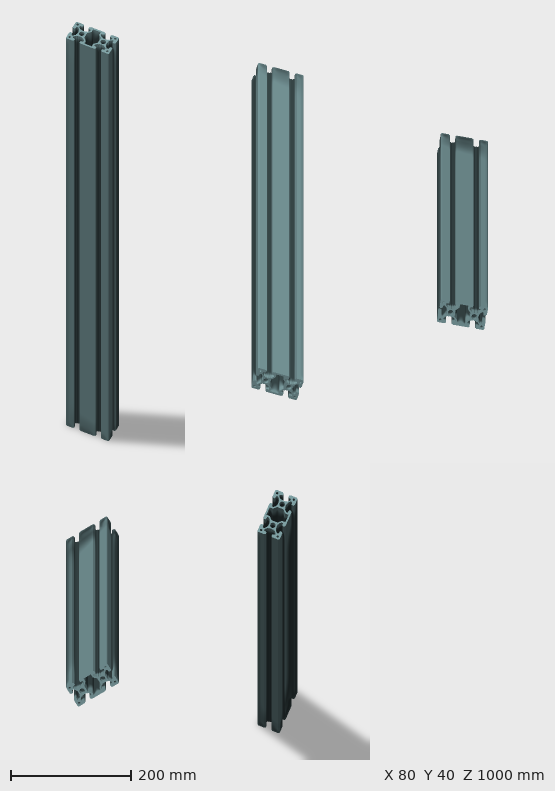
import cadquery as cq

MODULE = 40.0
WIDTH = 2 * MODULE
LENGTH = 1000.0
CORNER_RADIUS = 2.3

STEP_WIDTH = 13.0
STEP_DEPTH = 1.0
OPENING_WIDTH = 10.0
LIP_TIP_DEPTH = 5.0
LIP_ROOT_DEPTH = 6.0
SLOT_WIDTH = 20.0
FLOOR_WIDTH = 13.0
FLOOR_DEPTH = 12.0
RECESS_WIDTH = 9.0
RECESS_DEPTH = 13.0
GROOVE_WIDTH = 2.0
GROOVE_DEPTH = 14.0

BORE_DIAMETER = 9.0
BORE_OFFSET = MODULE / 2

CORNER_HOLE_DIAMETER = 4.0
CORNER_HOLE_INSET = 5.0

CAVITY_WIDTH = 25.0
CAVITY_END_WIDTH = 14.0
CAVITY_WALL = 3.0
CAVITY_HEIGHT = MODULE - 2 * CAVITY_WALL
CAVITY_SIDE_HEIGHT = 11.0


def extrude_outline(points):
    return cq.Workplane("XY").polyline(points).close().extrude(LENGTH)


def slot_cutter(x, y, angle):
    """T-slot opening towards +Y before it is turned by angle and moved to (x, y)."""
    slope_run = (SLOT_WIDTH - FLOOR_WIDTH) / 2
    right = [
        (STEP_WIDTH / 2, 0),
        (STEP_WIDTH / 2, -STEP_DEPTH),
        (OPENING_WIDTH / 2, -STEP_DEPTH),
        (OPENING_WIDTH / 2, -LIP_TIP_DEPTH),
        (SLOT_WIDTH / 2, -LIP_ROOT_DEPTH),
        (SLOT_WIDTH / 2, slope_run - FLOOR_DEPTH),
        (FLOOR_WIDTH / 2, -FLOOR_DEPTH),
        (RECESS_WIDTH / 2, -FLOOR_DEPTH),
        (RECESS_WIDTH / 2, -RECESS_DEPTH),
        (GROOVE_WIDTH / 2, -RECESS_DEPTH),
    ]
    left = [(-u, v) for u, v in reversed(right)]
    cutter = extrude_outline(right + [(0, -GROOVE_DEPTH)] + left)
    return cutter.rotate((0, 0, 0), (0, 0, 1), angle).translate((x, y, 0))


def cavity_cutter():
    shoulder = CAVITY_SIDE_HEIGHT / 2 + (CAVITY_WIDTH - CAVITY_END_WIDTH) / 2
    upper_right = [
        (CAVITY_END_WIDTH / 2, CAVITY_HEIGHT / 2),
        (CAVITY_END_WIDTH / 2, shoulder),
        (CAVITY_WIDTH / 2, CAVITY_SIDE_HEIGHT / 2),
    ]
    right = upper_right + [(x, -y) for x, y in reversed(upper_right)]
    left = [(-x, y) for x, y in reversed(right)]
    return extrude_outline(right + left)


def hole_cutter(points, diameter):
    return cq.Workplane("XY").pushPoints(points).circle(diameter / 2).extrude(LENGTH)


result = cq.Workplane("XY").box(WIDTH, MODULE, LENGTH, centered=(True, True, False))
result = result.edges("|Z").fillet(CORNER_RADIUS)

for side in (-1, 1):
    module_x = side * BORE_OFFSET
    result = result.cut(slot_cutter(module_x, MODULE / 2, 0))
    result = result.cut(slot_cutter(module_x, -MODULE / 2, 180))
    result = result.cut(slot_cutter(side * WIDTH / 2, 0, -90 * side))
    result = result.cut(hole_cutter([(module_x, 0)], BORE_DIAMETER))

corner_x = WIDTH / 2 - CORNER_HOLE_INSET
corner_y = MODULE / 2 - CORNER_HOLE_INSET
corner_points = [(sx * corner_x, sy * corner_y) for sx in (-1, 1) for sy in (-1, 1)]
result = result.cut(hole_cutter(corner_points, CORNER_HOLE_DIAMETER))
result = result.cut(cavity_cutter())